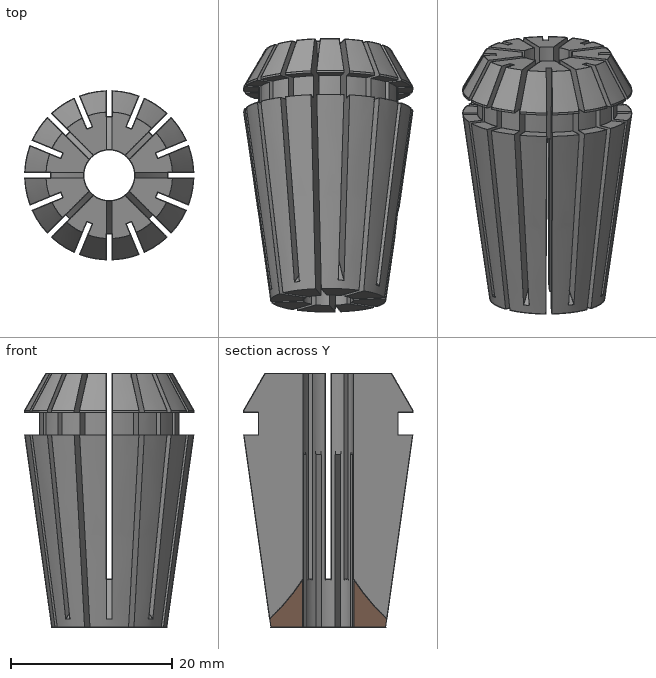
import cadquery as cq
import math

height = 31.5
outer_radius = 10.5
bore_radius = 3.15

head_top_radius = 7.85
head_height = 4.85
rim_height = 0.25

groove_radius = 8.65
groove_width = 2.77
taper_angle = 8.0

slot_width = 0.72
slots_per_end = 8
slot_pitch = 360 / slots_per_end

floor_inner_radius = bore_radius - 0.3
top_slot_outer_z = 1.05
top_slot_inner_z = 6.45
top_slot_floor_curve = 27.4
bottom_slot_outer_radius = 6.35
bottom_slot_inner_z = 20.48

rim_bottom_z = height - head_height
taper_top_z = rim_bottom_z - groove_width
taper_slope = math.tan(math.radians(taper_angle))
bottom_radius = outer_radius - taper_top_z * taper_slope
cut_radius = outer_radius + 0.3
cut_top_z = height + 0.3
cut_bottom_z = -0.3


def collet_body():
    """Revolved outline, bored through along Z."""
    return (
        cq.Workplane("XZ")
        .moveTo(bore_radius, 0)
        .lineTo(bottom_radius, 0)
        .lineTo(outer_radius, taper_top_z)
        .lineTo(groove_radius, taper_top_z)
        .lineTo(groove_radius, rim_bottom_z)
        .lineTo(outer_radius, rim_bottom_z)
        .lineTo(outer_radius, rim_bottom_z + rim_height)
        .lineTo(head_top_radius, height)
        .lineTo(bore_radius, height)
        .close()
        .revolve(360, (0, 0, 0), (0, 1, 0))
    )


def top_slot():
    """Cutter along +X, open upwards; its concave floor leaves the taper near the bottom end."""
    floor_outer_radius = bottom_radius + top_slot_outer_z * taper_slope
    return (
        cq.Workplane("XZ")
        .moveTo(0, cut_top_z)
        .lineTo(0, top_slot_inner_z)
        .lineTo(floor_inner_radius, top_slot_inner_z)
        .radiusArc((floor_outer_radius, top_slot_outer_z), -top_slot_floor_curve)
        .lineTo(cut_radius, top_slot_outer_z)
        .lineTo(cut_radius, cut_top_z)
        .close()
        .extrude(slot_width / 2, both=True)
    )


def bottom_slot():
    """Cutter along +X, open downwards; its straight floor leaves through the top face."""
    return (
        cq.Workplane("XZ")
        .moveTo(0, cut_bottom_z)
        .lineTo(0, bottom_slot_inner_z)
        .lineTo(floor_inner_radius, bottom_slot_inner_z)
        .lineTo(bottom_slot_outer_radius, height)
        .lineTo(bottom_slot_outer_radius, cut_top_z)
        .lineTo(cut_radius, cut_top_z)
        .lineTo(cut_radius, cut_bottom_z)
        .close()
        .extrude(slot_width / 2, both=True)
    )


def cut_around(body, cutter, first_angle):
    """Cut one ring of evenly spaced slots into the body."""
    for index in range(slots_per_end):
        angle = first_angle + index * slot_pitch
        body = body.cut(cutter.rotate((0, 0, 0), (0, 0, 1), angle))
    return body


result = collet_body()
result = cut_around(result, top_slot(), 0)
result = cut_around(result, bottom_slot(), slot_pitch / 2)